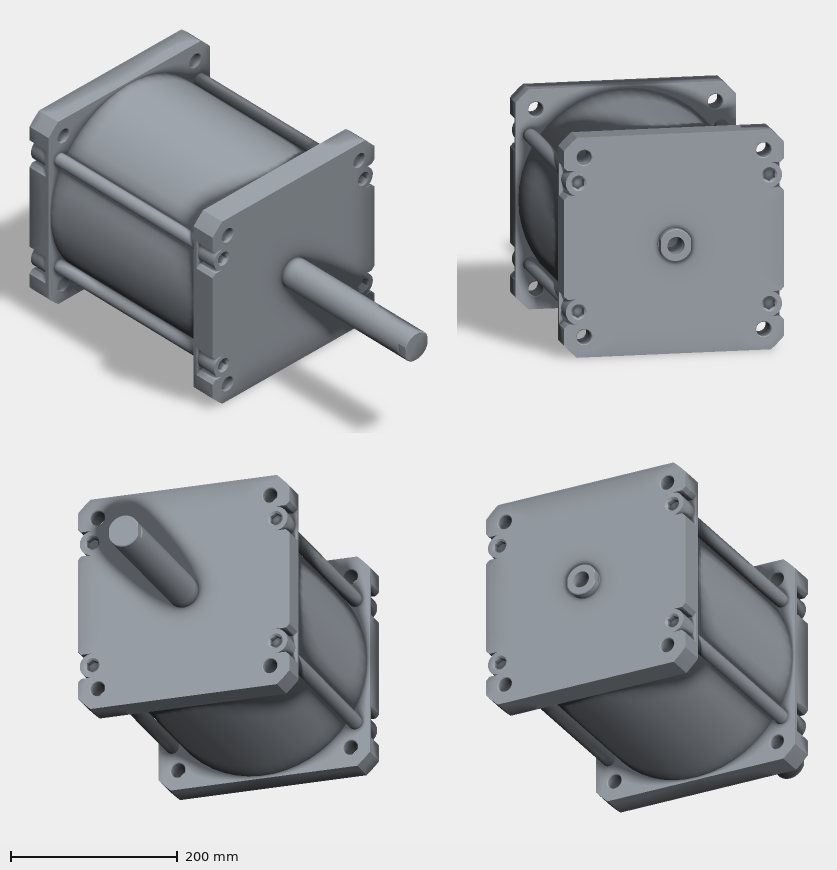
import cadquery as cq
import math


tube_length = 250.0
tube_outer_diameter = 263.0
tube_wall = 6.5
plate_size = 270.0
plate_thickness = 33.0
plate_corner_diameter = 360.0
tube_end = tube_length / 2
plate_face = tube_end + plate_thickness

mounting_hole_offset = 110.0
mounting_hole_diameter = 18.0
mounting_hole_chamfer = 1.0

rod_offset_y = 117.0
rod_offset_z = 79.0
rod_diameter = 17.5
head_diameter = 31.0
head_length = 28.0
hex_across_flats = 14.0
socket_mouth_diameter = 19.0
hex_depth = 10.0
slot_width = head_diameter
slot_mouth_chamfer = 4.5

rear_overhang = 12.0
front_overhang = 212.0
shaft_diameter = 40.0
shaft_rear_end = plate_face + rear_overhang
shaft_front_end = plate_face + front_overhang
shaft_end_chamfer = 1.0
flat_to_flat = 37.0
rear_flat_length = 10.0
front_flat_length = 12.0
center_hole_diameter = 21.0
center_hole_depth = 40.0
drill_tip_angle = 118.0


def rod_positions():
    return [(sy * rod_offset_y, sz * rod_offset_z) for sy in (-1, 1) for sz in (-1, 1)]


def yz_plane(x):
    """Sketch plane across the axis at x: local x is +Y, local y is +Z."""
    return cq.Workplane("YZ", origin=(x, 0, 0))


def make_tube():
    inner_diameter = tube_outer_diameter - 2 * tube_wall
    return (
        yz_plane(-tube_end)
        .circle(tube_outer_diameter / 2)
        .circle(inner_diameter / 2)
        .extrude(tube_length)
    )


def make_head_slot(y, z):
    """Round-bottomed slot for one rod head, flared where it leaves the plate side."""
    side = math.copysign(1, y)
    edge = side * plate_size / 2
    flare_start = edge - side * slot_mouth_chamfer
    half_width = slot_width / 2
    half_mouth = half_width + slot_mouth_chamfer
    return (
        yz_plane(plate_face - head_length)
        .moveTo(y, z - half_width)
        .lineTo(flare_start, z - half_width)
        .lineTo(edge, z - half_mouth)
        .lineTo(edge, z + half_mouth)
        .lineTo(flare_start, z + half_width)
        .lineTo(y, z + half_width)
        .threePointArc((y - side * half_width, z), (y, z - half_width))
        .close()
        .extrude(head_length)
    )


def make_front_plate():
    """Square plate with its corners turned to a circle about the shaft axis."""
    turned_blank = yz_plane(tube_end).circle(plate_corner_diameter / 2).extrude(plate_thickness)
    plate = (
        yz_plane(tube_end)
        .rect(plate_size, plate_size)
        .extrude(plate_thickness)
        .intersect(turned_blank)
    )
    mounting_hole_spacing = 2 * mounting_hole_offset
    mounting_holes = (
        yz_plane(tube_end)
        .rect(mounting_hole_spacing, mounting_hole_spacing, forConstruction=True)
        .vertices()
        .circle(mounting_hole_diameter / 2)
        .extrude(plate_thickness)
    )
    plate = plate.cut(mounting_holes)
    plate = plate.edges(cq.selectors.RadiusNthSelector(0)).chamfer(mounting_hole_chamfer)

    shaft_bore = yz_plane(tube_end).circle(shaft_diameter / 2).extrude(plate_thickness)
    rod_holes = (
        yz_plane(tube_end)
        .pushPoints(rod_positions())
        .circle(rod_diameter / 2)
        .extrude(plate_thickness)
    )
    plate = plate.cut(shaft_bore).cut(rod_holes)
    for y, z in rod_positions():
        plate = plate.cut(make_head_slot(y, z))
    return plate


def make_tie_rod(y, z):
    """Rod along X with a hex-socket head flush with the outer face of each plate."""
    rod = yz_plane(-plate_face).center(y, z).circle(rod_diameter / 2).extrude(2 * plate_face)
    hex_corner_diameter = hex_across_flats / math.cos(math.pi / 6)
    mouth_depth = (socket_mouth_diameter - hex_across_flats) / 2
    for face, inward in ((-plate_face, 1), (plate_face, -1)):
        head = yz_plane(face).center(y, z).circle(head_diameter / 2).extrude(inward * head_length)
        socket = (
            yz_plane(face)
            .center(y, z)
            .transformed(rotate=(0, 0, 90))
            .polygon(6, hex_corner_diameter)
            .extrude(inward * hex_depth)
        )
        mouth = (
            yz_plane(face)
            .center(y, z)
            .circle(socket_mouth_diameter / 2)
            .extrude(inward * mouth_depth, taper=45)
        )
        rod = rod.union(head).cut(socket).cut(mouth)
    return rod


def make_flat_cutter(x_start, length):
    """Stock removed over the given stretch to leave two parallel flats facing +/-Y."""
    outer = yz_plane(x_start).rect(2 * shaft_diameter, 2 * shaft_diameter).extrude(length)
    kept = yz_plane(x_start).rect(flat_to_flat, 2 * shaft_diameter).extrude(length)
    return outer.cut(kept)


def make_center_hole():
    """Blind hole with a conical drill tip in the rear end of the shaft."""
    radius = center_hole_diameter / 2
    tip = radius / math.tan(math.radians(drill_tip_angle / 2))
    hole_end = -shaft_rear_end + center_hole_depth
    return (
        cq.Workplane("XY")
        .moveTo(-shaft_rear_end, 0)
        .lineTo(-shaft_rear_end, radius)
        .lineTo(hole_end, radius)
        .lineTo(hole_end + tip, 0)
        .close()
        .revolve(360, (0, 0, 0), (1, 0, 0))
    )


def make_shaft():
    shaft = (
        yz_plane(-shaft_rear_end)
        .circle(shaft_diameter / 2)
        .extrude(shaft_rear_end + shaft_front_end)
        .faces("<X or >X")
        .chamfer(shaft_end_chamfer)
    )
    shaft = shaft.cut(make_flat_cutter(-shaft_rear_end, rear_flat_length))
    shaft = shaft.cut(make_flat_cutter(shaft_front_end - front_flat_length, front_flat_length))
    return shaft.cut(make_center_hole())


tube = make_tube()
front_plate = make_front_plate()
rear_plate = front_plate.mirror("YZ")
shaft = make_shaft()
tie_rods = [make_tie_rod(y, z) for y, z in rod_positions()]

result = cq.Compound.makeCompound(
    [tube.val(), front_plate.val(), rear_plate.val(), shaft.val()]
    + [rod.val() for rod in tie_rods]
)